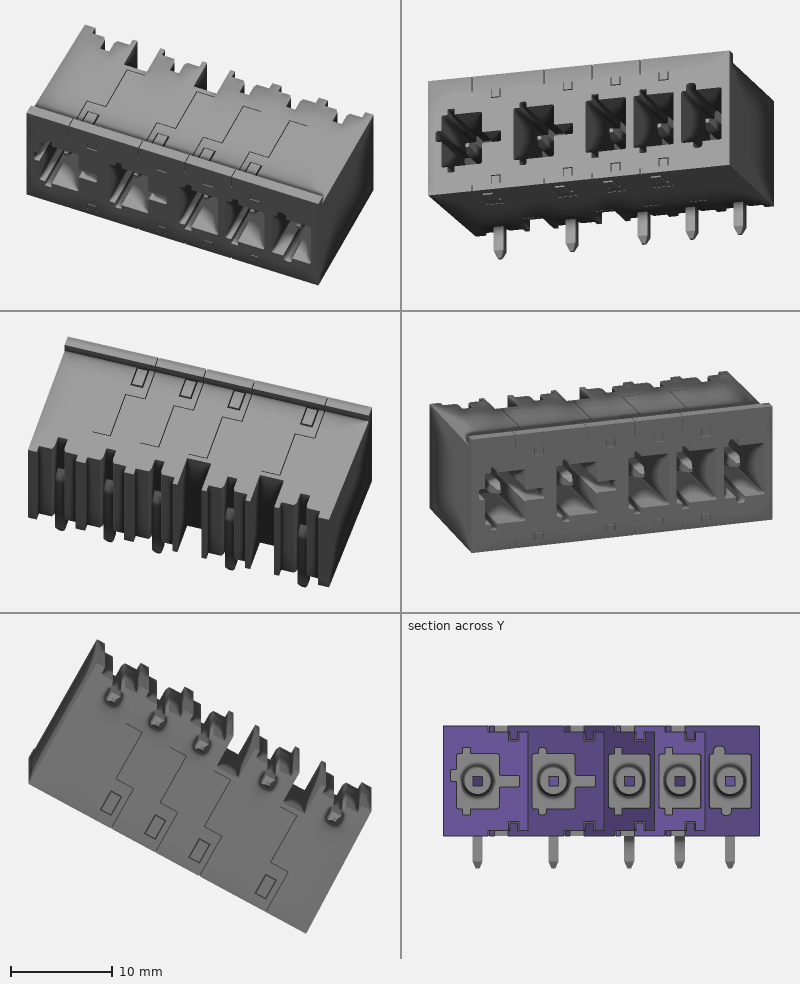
import cadquery as cq
import math


row_length = 31.4
housing_depth = 14.0
body_height = 10.95
flange_height = 11.9
flange_depth = 1.1
end_wall_draft = 0.35

wide_pitch = 7.5
narrow_pitch = 5.0
first_pin_x = 3.5
pin_xs = [first_pin_x]
for pitch in (wide_pitch, wide_pitch, narrow_pitch, narrow_pitch):
    pin_xs.append(pin_xs[-1] + pitch)
pole_half_width = 2.5
pole_kinds = ["first", "wide", "narrow", "narrow", "end"]
pin_z = 5.45

lap_bottom_z = 0.55
lap_top_z = 10.35
lap_front_reach = 3.95
lap_rear_reach = 1.95
lap_front_depth = 4.68
lap_depth = 10.08
joint_gap = 0.1
key_slot_width = 1.0
key_slot_depth = 0.88
tongue_depth = 10.55

latch_offset = 2.67
lug_width = 1.0
lug_front_y = 1.25
lug_back_y = 3.23
lug_rise = 0.1
window_width = 1.32
window_back_y = 3.4

pocket_width = 4.2
pocket_height = 5.4
pocket_depth = 9.1
pocket_draft = 0.1
pocket_corner_radius = 0.2
key_left = -1.48
key_right = -0.75
key_depth = 0.6
left_key_depth = 0.6
left_key_bottom = 0.0
left_key_top = 1.13
side_slot_reach = 4.1
side_slot_height = 1.13
end_key_top_left = -1.63
end_key_top_width = 1.07
end_key_top_depth = 0.75
end_key_bottom_left = -0.88
end_key_bottom_width = 0.97
end_key_bottom_depth = 0.65
end_key_radius = 0.38
collar_base_radius = 1.5
collar_tip_radius = 1.3
collar_height = 2.5

back_notch_half_width = 2.0
back_notch_depth = 0.8
mouth_half_width = 0.7
mouth_depth = 0.38

pin_size = 1.0
pin_tip_size = 0.38
plug_tip_length = 1.25
leg_tip_length = 0.72
pin_front_y = 1.82
pin_leg_y = 12.12
pin_bottom_z = -3.2
bend_radius = 0.97
leg_front_y = pin_leg_y - pin_size / 2
leg_back_y = pin_leg_y + pin_size / 2

tall = 2 * flange_height


def block(x0, x1, y0, y1, z0, z1):
    """A box between two opposite corners."""
    return cq.Workplane("XY").box(x1 - x0, y1 - y0, z1 - z0, centered=False).translate((x0, y0, z0))


def prism(points, z0, z1):
    """A plan outline raised from z0 to z1."""
    return cq.Workplane("XY").workplane(offset=z0).polyline(points).close().extrude(z1 - z0)


def lap_outline(seam_x, clearance):
    """The stepped plan of a lap that reaches left of the seam."""
    front_x = seam_x - lap_front_reach + clearance
    rear_x = seam_x - lap_rear_reach + clearance
    step_y = lap_front_depth - clearance
    end_y = lap_depth - clearance
    return [(seam_x, 0), (front_x, 0), (front_x, step_y), (rear_x, step_y), (rear_x, end_y), (seam_x, end_y)]


def lap_key(seam_x, clearance):
    """The rib under and over the tongue, or its slot when there is no clearance."""
    left_x = seam_x - lap_rear_reach + clearance
    right_x = seam_x - lap_rear_reach + key_slot_width - clearance
    end_y = lap_depth - clearance
    depth = key_slot_depth - clearance
    upper = block(left_x, right_x, 0, end_y, lap_top_z - depth, lap_top_z)
    lower = block(left_x, right_x, 0, end_y, lap_bottom_z, lap_bottom_z + depth)
    return upper.union(lower)


def cut_tongue(housing, seam_x, is_wide):
    """Form the right side of a housing into the tongue that its neighbour laps."""
    recess = lap_outline(seam_x, 0)
    housing = housing.cut(prism(recess, lap_top_z, tall))
    housing = housing.cut(prism(recess, 0, lap_bottom_z))
    housing = housing.cut(lap_key(seam_x, 0))
    if is_wide:
        back_x = seam_x - wide_pitch + 2 * pole_half_width
        housing = housing.cut(block(back_x, seam_x, tongue_depth, housing_depth, 0, tall))
    lug_x = seam_x - latch_offset - lug_width / 2
    upper_lug = block(lug_x, lug_x + lug_width, lug_front_y, lug_back_y, lap_top_z, body_height + lug_rise)
    lower_lug = block(lug_x, lug_x + lug_width, lug_front_y, lug_back_y, -lug_rise, lap_bottom_z)
    return housing.union(upper_lug).union(lower_lug)


def add_lap(housing, seam_x):
    """Add the laps and ribs that grip the neighbour on the left, with their latch windows."""
    outline = lap_outline(seam_x, joint_gap)
    strip = prism(outline, lap_top_z, body_height).union(prism(outline, 0, lap_bottom_z))
    front_x = seam_x - lap_front_reach + joint_gap
    strip = strip.union(block(front_x, seam_x, 0, flange_depth, lap_top_z, flange_height))
    strip = strip.union(lap_key(seam_x, joint_gap))
    window_x = seam_x - latch_offset - window_width / 2
    for z0, z1 in ((0, lap_bottom_z), (lap_top_z, body_height)):
        strip = strip.cut(block(window_x, window_x + window_width, flange_depth, window_back_y, z0, z1))
    return housing.union(strip)


def opening(left, right, bottom, top, radius=0, draft=0):
    """A pocket from the mating face to the pocket floor, placed relative to the pin axis."""
    taper = math.degrees(math.atan(draft / pocket_depth))
    shape = (
        cq.Workplane("XZ")
        .center((left + right) / 2, (bottom + top) / 2)
        .rect(right - left, top - bottom)
        .extrude(-pocket_depth, taper=taper)
    )
    if radius:
        shape = shape.edges("not(#Y)").fillet(radius)
    return shape


def pocket(kind):
    """The keyed mating pocket, with the pin axis at X = 0 and Z = 0."""
    half_width = pocket_width / 2
    half_height = pocket_height / 2
    draft = pocket_draft if kind in ("narrow", "end") else 0
    shape = opening(-half_width, half_width, -half_height, half_height, pocket_corner_radius, draft)
    if kind == "end":
        upper_right = end_key_top_left + end_key_top_width
        lower_right = end_key_bottom_left + end_key_bottom_width
        upper_top = half_height + end_key_top_depth
        lower_bottom = -half_height - end_key_bottom_depth
        shape = shape.union(opening(end_key_top_left, upper_right, 0, upper_top, end_key_radius))
        shape = shape.union(opening(end_key_bottom_left, lower_right, lower_bottom, 0, end_key_radius))
    else:
        reach = half_height + key_depth
        key_radius = pocket_corner_radius if kind == "wide" else 0
        shape = shape.union(opening(key_left, key_right, -reach, reach, key_radius))
    if kind in ("first", "wide"):
        half_slot = side_slot_height / 2
        shape = shape.union(opening(0, side_slot_reach, -half_slot, half_slot, pocket_corner_radius))
        for z in (half_slot, -half_slot):
            mouth_edge = cq.selectors.NearestToPointSelector((half_width, pocket_depth / 2, z))
            shape = shape.edges(mouth_edge).fillet(pocket_corner_radius)
    if kind == "first":
        key_x = -half_width - left_key_depth
        shape = shape.union(opening(key_x, 0, left_key_bottom, left_key_top, pocket_corner_radius))
    collar = (
        cq.Workplane("XZ", origin=(0, pocket_depth, 0))
        .circle(collar_base_radius)
        .workplane(offset=collar_height)
        .circle(collar_tip_radius)
        .loft()
    )
    return shape.cut(collar)


def back_cut(pin_x):
    """The notch in the back of a pole and the flared slot for the pin's leg."""
    floor_y = housing_depth - back_notch_depth
    half_pin = pin_size / 2
    half = [
        (half_pin, leg_front_y),
        (half_pin, floor_y - mouth_depth),
        (mouth_half_width, floor_y),
        (back_notch_half_width, floor_y),
        (back_notch_half_width, housing_depth),
    ]
    mirrored = [(-x, y) for x, y in reversed(half)]
    outline = [(pin_x + x, y) for x, y in half + mirrored]
    return prism(outline, 0, tall)


def make_housing(index):
    """One pole's housing."""
    last = len(pin_xs) - 1
    pin_x = pin_xs[index]
    left_x = 0 if index == 0 else pin_x - pole_half_width
    right_x = row_length if index == last else pin_xs[index + 1] - pole_half_width
    kind = pole_kinds[index]
    back_left_x = end_wall_draft if index == 0 else left_x

    plan = [(left_x, 0), (right_x, 0), (right_x, housing_depth), (back_left_x, housing_depth)]
    housing = prism(plan, 0, flange_height)
    housing = housing.cut(block(left_x, right_x, flange_depth, housing_depth, body_height, flange_height))
    if index < last:
        housing = cut_tongue(housing, right_x, kind in ("first", "wide"))
    if index > 0:
        housing = add_lap(housing, left_x)
    housing = housing.cut(pocket(kind).translate((pin_x, 0, pin_z)))
    housing = housing.cut(back_cut(pin_x))
    half_pin = pin_size / 2
    pin_hole = block(
        pin_x - half_pin, pin_x + half_pin, 0, leg_front_y, pin_z - half_pin, pin_z + half_pin
    )
    return housing.cut(pin_hole)


def pin_tip(base, direction, length):
    """A tapered pin end that narrows along the given direction."""
    return (
        cq.Workplane(cq.Plane(origin=base, xDir=(1, 0, 0), normal=direction))
        .rect(pin_size, pin_size)
        .workplane(offset=length)
        .rect(pin_tip_size, pin_tip_size)
        .loft()
    )


def make_pin(pin_x):
    """A square pin bent down at the back, with a tapered point at both ends."""
    half_pin = pin_size / 2
    tip_y = pin_front_y + plug_tip_length
    tip_z = pin_bottom_z + leg_tip_length
    bar = block(pin_x - half_pin, pin_x + half_pin, tip_y, leg_back_y, pin_z - half_pin, pin_z + half_pin)
    leg = block(pin_x - half_pin, pin_x + half_pin, leg_front_y, leg_back_y, tip_z, pin_z)
    bent = bar.union(leg).edges("|X and >Y and >Z").fillet(bend_radius)
    bent = bent.union(pin_tip((pin_x, tip_y, pin_z), (0, -1, 0), plug_tip_length))
    return bent.union(pin_tip((pin_x, pin_leg_y, tip_z), (0, 0, -1), leg_tip_length))


housings = [make_housing(index) for index in range(len(pin_xs))]
pins = [make_pin(pin_x) for pin_x in pin_xs]
result = cq.Compound.makeCompound([body.val() for body in housings + pins])